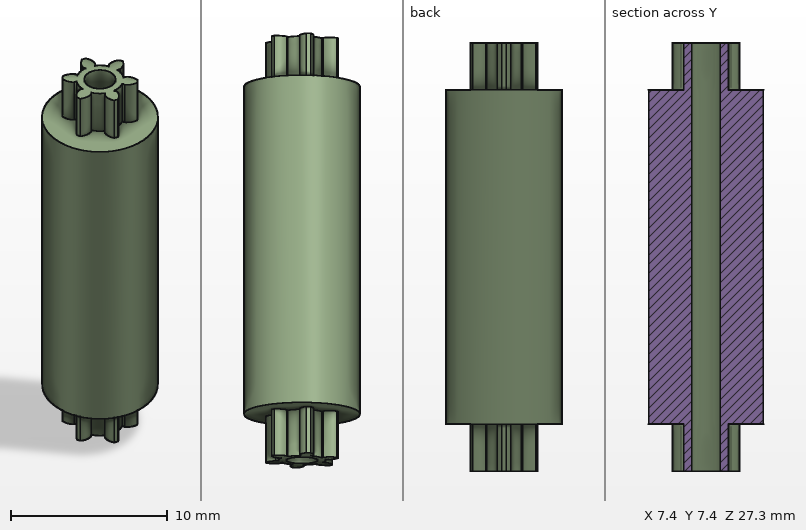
import cadquery as cq
import math

total_length = 27.3
body_diameter = 7.4
bore_diameter = 2.0
pinion_length = 3.0

tooth_count = 6
root_radius = 1.5
tip_radius = 2.4

root_half_width = 0.33
shoulder_half_width = 0.45
flank_half_width = 0.38
tip_half_width = 0.15

shoulder_height = 1.6
flank_height = 2.02


def height_on_circle(radius, half_width):
    """Distance from the axis, along the tooth, to a point on a circle."""
    return math.sqrt(radius**2 - half_width**2)


def make_tooth(length):
    """One tooth pointing along +Y, with a short straight foot, curved flanks and a rounded tip."""
    root_y = height_on_circle(root_radius, root_half_width)
    tip_y = height_on_circle(tip_radius, tip_half_width)
    return (
        cq.Workplane("XY")
        .moveTo(-root_half_width, 0)
        .lineTo(-root_half_width, root_y)
        .lineTo(-shoulder_half_width, shoulder_height)
        .threePointArc((-flank_half_width, flank_height), (-tip_half_width, tip_y))
        .threePointArc((0, tip_radius), (tip_half_width, tip_y))
        .threePointArc((flank_half_width, flank_height), (shoulder_half_width, shoulder_height))
        .lineTo(root_half_width, root_y)
        .lineTo(root_half_width, 0)
        .close()
        .extrude(length)
    )


def make_pinion(length):
    """Toothed bar standing on the XY plane."""
    pinion = cq.Workplane("XY").circle(root_radius).extrude(length)
    tooth = make_tooth(length)
    for index in range(tooth_count):
        angle = index * 360 / tooth_count
        pinion = pinion.union(tooth.rotate((0, 0, 0), (0, 0, 1), angle))
    return pinion


body = (
    cq.Workplane("XY")
    .workplane(offset=pinion_length)
    .circle(body_diameter / 2)
    .extrude(total_length - 2 * pinion_length)
)
bore = cq.Workplane("XY").circle(bore_diameter / 2).extrude(total_length)

result = make_pinion(total_length).union(body).cut(bore)